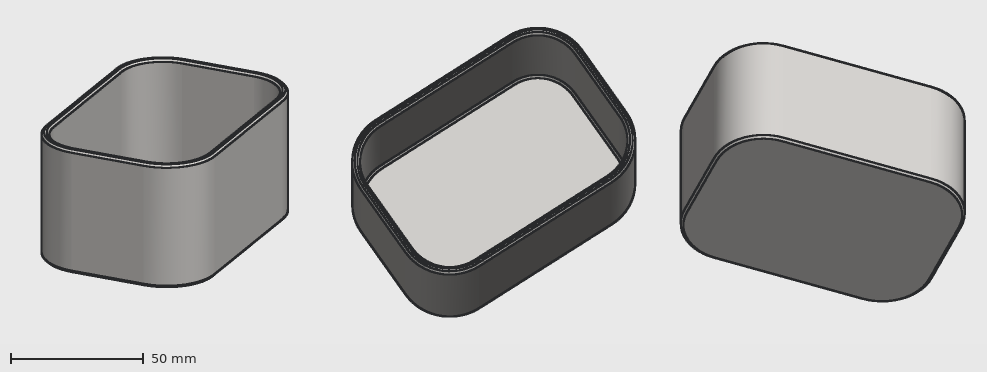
import cadquery as cq

width = 70
length = 100
height = 50
corner_radius = 20

wall = 3
floor = 3
edge_chamfer = 1
inner_floor_chamfer = 1


def rounded_block(inset, block_height):
    """Upright block with rounded corners, set in from the outer walls."""
    return (
        cq.Workplane("XY")
        .box(width - 2 * inset, length - 2 * inset, block_height, centered=(True, True, False))
        .edges("|Z")
        .fillet(corner_radius - inset)
    )


body = rounded_block(0, height).faces("<Z").edges().chamfer(edge_chamfer)

cavity = rounded_block(wall, height - floor).faces("<Z").edges().chamfer(inner_floor_chamfer)
box = body.cut(cavity.translate((0, 0, floor)))

result = box.faces(">Z").edges().chamfer(edge_chamfer)